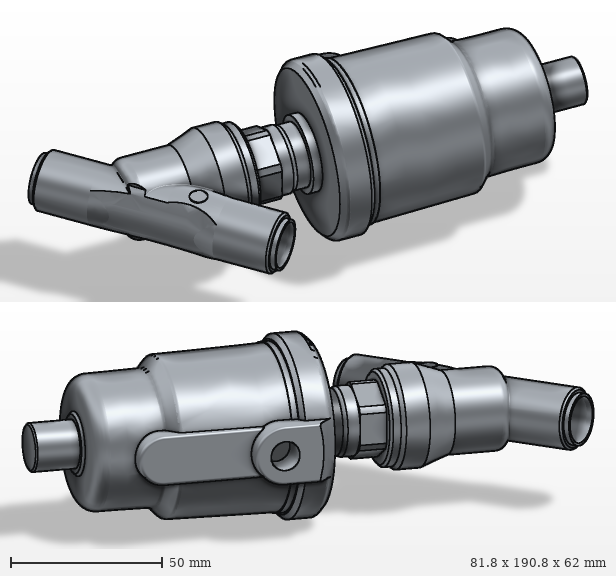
import cadquery as cq
import math


OVERALL_LENGTH = 190.8

PIPE_ANGLE = 45.0
PIPE_CROSSING_Y = -66.0
PIPE_MIDDLE_OFFSET = 14.1
PIPE_RADIUS = 10.5
PIPE_BORE_RADIUS = 7.5
PIPE_MOUTH_RADIUS = 7.8
PIPE_HALF_LENGTH = 44.3
TIP_RADIUS = 8.8
TIP_SHOULDER_RADIUS = 9.7
TIP_LENGTH = 2.0
TIP_BEVEL_LENGTH = 0.8

MIDDLE_HALF_LENGTH = 22.5
SWELL_START = 3.8
SWELL_RADIUS = 11.0
PAD_RADIUS = 3.0
FLANK_AXIS_OFFSET = 4.4
FLANK_WAIST_RADIUS = 13.2
FLANK_END_RADIUS = 14.0
FLANK_CUT_RADIUS = 19.0
FLANK_CUT_EDGE = 3.5
TAPER_INNER_END = 13.4
TAPER_INNER_RADIUS = 8.8

VALVE_TOP_Y = -22.9
VALVE_SHOULDER_Y = -26.5
VALVE_WIDE_TOP_Y = -28.0
VALVE_WIDE_BOTTOM_Y = -36.3
VALVE_NECK_Y = -46.0
VALVE_BOTTOM_Y = -66.5
VALVE_RIM_RADIUS = 16.5
VALVE_WIDE_RADIUS = 17.5
VALVE_NECK_RADIUS = 14.1
VALVE_RIM_CHAMFER = 1.0
VALVE_BOTTOM_ROUND = 3.8
PIPE_BLEND_RADIUS = 0.48

NIPPLE_RADIUS = 11.3
NIPPLE_RING_RADIUS = 11.8
NIPPLE_RING_TOP_Y = -8.0
NIPPLE_RING_EDGE_Y = -9.5
HEX_TOP_Y = -13.7
HEX_ACROSS_FLATS = 2 * NIPPLE_RING_RADIUS
HEX_CORNER_RADIUS = 13.0

COLLAR_RADIUS = 13.5
COLLAR_LENGTH = 3.2
FLANGE_RADIUS = 31.01
FLANGE_HEIGHT = 12.2
FLANGE_BOTTOM_CHAMFER = 2.3
FLANGE_TOP_CHAMFER = 1.7
EDGE_ROUND = 1.7
FOOT_RADIUS = 28.6
FOOT_TOP_Y = 14.5
CYLINDER_BOTTOM_RADIUS = 28.2
CYLINDER_TOP_RADIUS = 27.5
CYLINDER_TOP_Y = 52.7
DOME_BOTTOM_RADIUS = 23.3
DOME_BOTTOM_Y = CYLINDER_TOP_Y + CYLINDER_TOP_RADIUS - DOME_BOTTOM_RADIUS
DOME_TOP_RADIUS = 22.9
DOME_TOP_Y = 81.1
DOME_ROUND = 5.3
INDICATOR_BASE_RADIUS = 10.9
INDICATOR_BASE_CHAMFER = 1.0
INDICATOR_RADIUS = 8.2
INDICATOR_CHAMFER = 0.5

PORT_CENTRE_Y = 18.9
PORT_HALF_WIDTH = 10.1
PORT_FACE_X = -34.3
PORT_EDGE_ROUND = 1.1
PORT_HOLE_RADIUS = 5.0
PORT_HOLE_DEPTH = 11.5
CHANNEL_CENTRE_Y = 59.0
CHANNEL_HALF_WIDTH = 8.5
CHANNEL_FACE_X = -28.6
CHANNEL_EDGE_ROUND = 1.3
LUG_ROOT_X = -15.3


def corner_round(before, corner, after, radius):
    """Start, middle and end of the arc that rounds a corner of an outline."""
    corner = cq.Vector(*corner)
    back = (cq.Vector(*before) - corner).normalized()
    ahead = (cq.Vector(*after) - corner).normalized()
    half_angle = back.getAngle(ahead) / 2
    tangent_length = radius / math.tan(half_angle)
    middle_distance = radius / math.sin(half_angle) - radius
    middle = corner + (back + ahead).normalized() * middle_distance
    return corner + back * tangent_length, middle, corner + ahead * tangent_length


def turned(corners):
    """Solid of revolution about Y from (radius, y) corners, or (radius, y, round) for a rounded one."""
    corners = [(0, corners[0][1]), *corners, (0, corners[-1][1])]
    outline = cq.Workplane("XY").moveTo(*corners[0])
    for before, corner, after in zip(corners, corners[1:], corners[2:]):
        if len(corner) == 2:
            outline = outline.lineTo(*corner)
        else:
            start, middle, end = corner_round(before[:2], corner[:2], after[:2], corner[2])
            outline = outline.lineTo(start.x, start.y).threePointArc((middle.x, middle.y), (end.x, end.y))
    outline = outline.lineTo(*corners[-1]).close()
    return outline.revolve(360, (0, 0), (0, 1))


def turned_along_x(outline):
    """Solid of revolution about X from (x, radius) corners that start and end on the axis."""
    return cq.Workplane("XY").polyline(outline).close().revolve(360, (0, 0), (1, 0))



def pipe_middle():
    """Middle section of the pipe along X, with the swelling and the flat pad on its crest."""
    swell_middle = (SWELL_START + MIDDLE_HALF_LENGTH) / 2
    swell = (
        cq.Workplane("XY")
        .moveTo(SWELL_START, 0)
        .lineTo(SWELL_START, PIPE_RADIUS)
        .threePointArc((swell_middle, SWELL_RADIUS), (MIDDLE_HALF_LENGTH, PIPE_RADIUS))
        .lineTo(MIDDLE_HALF_LENGTH, 0)
        .close()
        .revolve(360, (0, 0), (1, 0))
    )
    pad = cq.Workplane("XY").center(swell_middle, 0).circle(PAD_RADIUS).extrude(SWELL_RADIUS)
    core = cq.Workplane("YZ").circle(PIPE_RADIUS).extrude(MIDDLE_HALF_LENGTH, both=True)
    return core.union(swell).union(pad)


def flank_hollow():
    """Material cut from the -Y flank of the middle section, leaving a tapered run-out at both ends."""
    hollow = (
        cq.Workplane("XY", origin=(0, FLANK_AXIS_OFFSET, 0))
        .moveTo(-MIDDLE_HALF_LENGTH, FLANK_END_RADIUS)
        .threePointArc((0, FLANK_WAIST_RADIUS), (MIDDLE_HALF_LENGTH, FLANK_END_RADIUS))
        .lineTo(MIDDLE_HALF_LENGTH, FLANK_CUT_RADIUS)
        .lineTo(-MIDDLE_HALF_LENGTH, FLANK_CUT_RADIUS)
        .close()
        .revolve(360, (0, 0), (1, 0))
    )
    outer_side = (
        cq.Workplane("XY")
        .box(2 * MIDDLE_HALF_LENGTH, FLANK_CUT_RADIUS, 2 * FLANK_CUT_RADIUS, centered=(True, False, True))
        .translate((0, -FLANK_CUT_RADIUS - FLANK_CUT_EDGE, 0))
    )
    hollow = hollow.intersect(outer_side)
    for side in (-1, 1):
        taper = turned_along_x([
            (side * MIDDLE_HALF_LENGTH, 0),
            (side * MIDDLE_HALF_LENGTH, PIPE_RADIUS),
            (side * TAPER_INNER_END, TAPER_INNER_RADIUS),
            (side * TAPER_INNER_END, 0),
        ])
        hollow = hollow.cut(taper)
    return hollow


def pipe_end(side):
    """Straight pipe end with a bevel and a turned-down tip, on the +X (1) or -X (-1) side."""
    tip_start = PIPE_HALF_LENGTH - TIP_LENGTH
    bevel_start = tip_start - TIP_BEVEL_LENGTH
    return turned_along_x([
        (side * MIDDLE_HALF_LENGTH, 0),
        (side * MIDDLE_HALF_LENGTH, PIPE_RADIUS),
        (side * bevel_start, PIPE_RADIUS),
        (side * tip_start, TIP_SHOULDER_RADIUS),
        (side * tip_start, TIP_RADIUS),
        (side * PIPE_HALF_LENGTH, TIP_RADIUS),
        (side * PIPE_HALF_LENGTH, 0),
    ])


def pipe_bore():
    """Through bore along X, tapered open at both mouths."""
    bore_end = PIPE_HALF_LENGTH - TIP_LENGTH
    return turned_along_x([
        (-PIPE_HALF_LENGTH, 0),
        (-PIPE_HALF_LENGTH, PIPE_MOUTH_RADIUS),
        (-bore_end, PIPE_BORE_RADIUS),
        (bore_end, PIPE_BORE_RADIUS),
        (PIPE_HALF_LENGTH, PIPE_MOUTH_RADIUS),
        (PIPE_HALF_LENGTH, 0),
    ])


def place_on_pipe(shape):
    """Move a shape built along X onto the slanted pipe axis."""
    return (
        shape.translate((PIPE_MIDDLE_OFFSET, 0, 0))
        .rotate((0, 0, 0), (0, 0, 1), PIPE_ANGLE)
        .translate((0, PIPE_CROSSING_Y, 0))
    )


def make_valve_body():
    seat_housing = turned([
        (VALVE_NECK_RADIUS, VALVE_BOTTOM_Y, VALVE_BOTTOM_ROUND),
        (VALVE_NECK_RADIUS, VALVE_NECK_Y),
        (VALVE_WIDE_RADIUS, VALVE_WIDE_BOTTOM_Y),
        (VALVE_WIDE_RADIUS, VALVE_WIDE_TOP_Y),
        (VALVE_RIM_RADIUS, VALVE_SHOULDER_Y),
        (VALVE_RIM_RADIUS, VALVE_TOP_Y - VALVE_RIM_CHAMFER),
        (VALVE_RIM_RADIUS - VALVE_RIM_CHAMFER, VALVE_TOP_Y),
    ])
    pipe = pipe_middle().union(pipe_end(-1)).union(pipe_end(1))
    casting = seat_housing.union(place_on_pipe(pipe))
    side_of_housing = cq.selectors.BoxSelector(
        (VALVE_NECK_RADIUS / 2, VALVE_BOTTOM_Y, -VALVE_WIDE_RADIUS),
        (VALVE_WIDE_RADIUS, VALVE_TOP_Y, VALVE_WIDE_RADIUS),
    )
    casting = casting.edges("%BSPLINE").edges(side_of_housing).fillet(PIPE_BLEND_RADIUS)
    return casting.cut(place_on_pipe(flank_hollow())).cut(place_on_pipe(pipe_bore()))



def make_nipple():
    shank = turned([
        (NIPPLE_RADIUS, -COLLAR_LENGTH),
        (NIPPLE_RADIUS, NIPPLE_RING_TOP_Y),
        (NIPPLE_RING_RADIUS, NIPPLE_RING_EDGE_Y),
        (NIPPLE_RING_RADIUS, HEX_TOP_Y),
    ])
    hex_height = HEX_TOP_Y - VALVE_TOP_Y
    across_corners = HEX_ACROSS_FLATS / math.cos(math.pi / 6)
    top_plane = cq.Workplane("XZ", origin=(0, HEX_TOP_Y, 0))
    hexagon = top_plane.transformed(rotate=(0, 0, 90)).polygon(6, across_corners).extrude(hex_height)
    corner_limit = top_plane.circle(HEX_CORNER_RADIUS).extrude(hex_height)
    return shank.union(hexagon.intersect(corner_limit))



def rounded_lug(face_x, centre_y, half_width, edge_round):
    """Lug toward -X with a half-round upper end, running down to the flange face."""
    return (
        cq.Workplane("YZ", origin=(face_x, 0, 0))
        .moveTo(0, -half_width)
        .lineTo(centre_y, -half_width)
        .threePointArc((centre_y + half_width, 0), (centre_y, half_width))
        .lineTo(0, half_width)
        .close()
        .extrude(LUG_ROOT_X - face_x)
        .faces("<X").edges("not <Y").fillet(edge_round)
    )


def make_actuator():
    pipe_low_y = (
        PIPE_CROSSING_Y
        - (PIPE_HALF_LENGTH - PIPE_MIDDLE_OFFSET) * math.sin(math.radians(PIPE_ANGLE))
        - TIP_RADIUS * math.cos(math.radians(PIPE_ANGLE))
    )
    indicator_top_y = pipe_low_y + OVERALL_LENGTH
    indicator_base_y = DOME_TOP_Y + INDICATOR_BASE_CHAMFER
    housing = turned([
        (FLANGE_RADIUS - FLANGE_BOTTOM_CHAMFER, 0),
        (FLANGE_RADIUS, FLANGE_BOTTOM_CHAMFER, EDGE_ROUND),
        (FLANGE_RADIUS, FLANGE_HEIGHT - FLANGE_TOP_CHAMFER),
        (FLANGE_RADIUS - FLANGE_TOP_CHAMFER, FLANGE_HEIGHT),
        (FOOT_RADIUS, FLANGE_HEIGHT),
        (FOOT_RADIUS, FOOT_TOP_Y),
        (CYLINDER_BOTTOM_RADIUS, FOOT_TOP_Y),
        (CYLINDER_TOP_RADIUS, CYLINDER_TOP_Y, EDGE_ROUND),
        (DOME_BOTTOM_RADIUS, DOME_BOTTOM_Y, EDGE_ROUND),
        (DOME_TOP_RADIUS, DOME_TOP_Y, DOME_ROUND),
        (INDICATOR_BASE_RADIUS, DOME_TOP_Y),
        (INDICATOR_BASE_RADIUS - INDICATOR_BASE_CHAMFER, indicator_base_y),
        (INDICATOR_RADIUS, indicator_base_y),
        (INDICATOR_RADIUS, indicator_top_y - INDICATOR_CHAMFER),
        (INDICATOR_RADIUS - INDICATOR_CHAMFER, indicator_top_y),
    ])
    collar = turned([(COLLAR_RADIUS, -COLLAR_LENGTH), (COLLAR_RADIUS, 0)])

    chamfer_reach = 2 * FLANGE_RADIUS
    chamfer_cone = turned([
        (FLANGE_RADIUS - FLANGE_BOTTOM_CHAMFER, 0),
        (FLANGE_RADIUS - FLANGE_BOTTOM_CHAMFER + chamfer_reach, chamfer_reach),
        (FLANGE_RADIUS - FLANGE_BOTTOM_CHAMFER + chamfer_reach, DOME_TOP_Y),
    ])
    port_lug = rounded_lug(PORT_FACE_X, PORT_CENTRE_Y, PORT_HALF_WIDTH, PORT_EDGE_ROUND)
    channel = rounded_lug(CHANNEL_FACE_X, CHANNEL_CENTRE_Y, CHANNEL_HALF_WIDTH, CHANNEL_EDGE_ROUND)
    port_hole = (
        cq.Workplane("YZ", origin=(PORT_FACE_X, 0, 0))
        .center(PORT_CENTRE_Y, 0)
        .circle(PORT_HOLE_RADIUS)
        .extrude(PORT_HOLE_DEPTH)
    )
    lugs = port_lug.union(channel).intersect(chamfer_cone)
    return housing.union(collar).union(lugs).cut(port_hole)


actuator = make_actuator()
nipple = make_nipple()
valve_body = make_valve_body()

result = cq.Compound.makeCompound([actuator.solids().val(), nipple.solids().val(), valve_body.solids().val()])